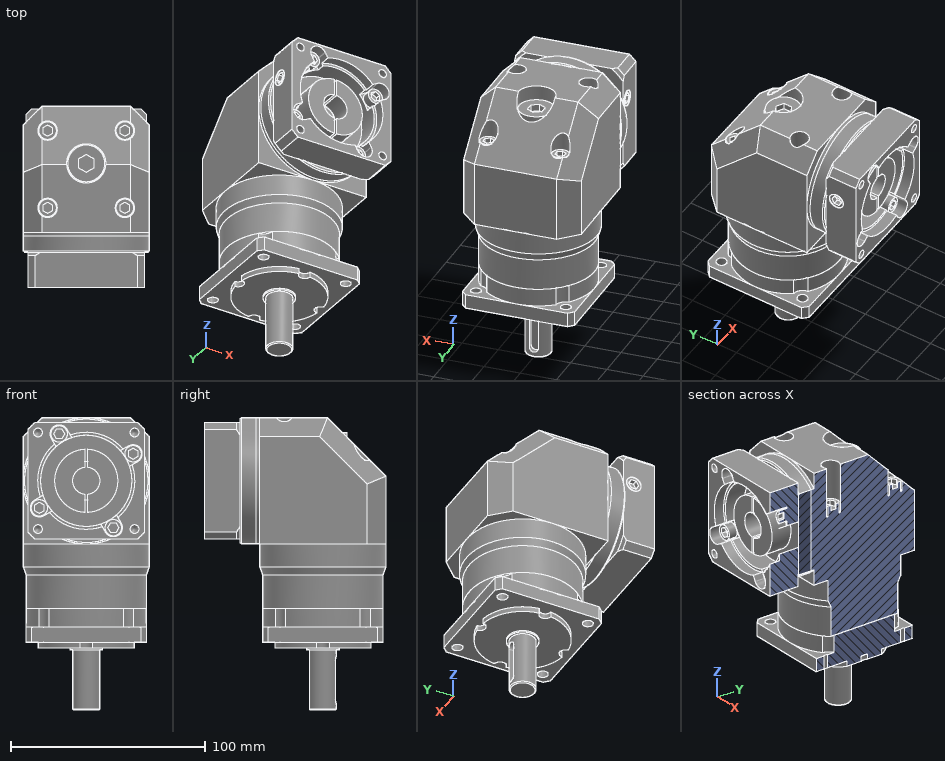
import cadquery as cq
import math


BLOCK = 65.0
HALF = BLOCK / 2
TOP = 150.5
BLOCK_BOTTOM = TOP - BLOCK
INPUT_Z = TOP - HALF
SLOPE = 30.1
BLOCK_CHAMFER = 9.8
NECK_BOTTOM = 73.7
TAPER_BOTTOM = 69.5
SLEEVE_RADIUS = 31.0
SLEEVE_BOTTOM = 52.4
BOSS_LENGTH = 2.0

BLOCK_SCREW_OFFSET = 19.9
BLOCK_SCREW_HOLE_RADIUS = 5.0
BLOCK_SCREW_HEAD_RADIUS = 4.5
BLOCK_SCREW_HEAD_TOP = 128.5
BLOCK_SCREW_HEAD_HEIGHT = 6.0
PLUG_Y = 3.0
PLUG_HOLE_RADIUS = 10.1
PLUG_RADIUS = 9.5
PLUG_TOP = 142.8
PLUG_HOLE_FLOOR = 137.0
PLUG_HEX = 8.0
PLUG_HEX_DEPTH = 3.8
SCREW_HEX = 5.0
SCREW_HEX_DEPTH = 3.0

FLANGE_TOP = 42.7
FLANGE_BOTTOM = 34.9
FLANGE_CORNER = 2.9
FLANGE_HOLE_OFFSET = 24.8
FLANGE_HOLE_DIAMETER = 5.5
FLANGE_NOTCH_RADIUS = 5.7
PILOT_RADIUS = 25.0
PILOT_BOTTOM = 31.9
PILOT_NOTCH_RADIUS = 3.3
SEAL_RADIUS = 8.5
SEAL_BOTTOM = 31.0
SHAFT_DIAMETER = 14.0
SHAFT_CHAMFER = 0.6
KEYWAY_WIDTH = 5.0
KEYWAY_LENGTH = 25.0
KEYWAY_DEPTH = 3.0
KEYWAY_MIDDLE = 15.5

BOSS_FRONT = -HALF - BOSS_LENGTH
RING_FRONT = -42.7
RING_CHAMFER = 0.8
HUB_RADIUS = 16.3
HUB_BORE_DIAMETER = 14.0
HUB_FRONT = -55.0
HUB_SLOT_WIDTH = 1.4
RELIEF_RADIUS = 10.0
RELIEF_DEPTH = 3.0

PLATE_SIDE = 60.0
PLATE_CORNER = 3.6
PLATE_FRONT = -61.0
PLATE_BACK_RADIUS = 38.2
PLATE_BORE_RADIUS = 23.5
PLATE_RECESS_RADIUS = 25.0
PLATE_RECESS_DEPTH = 6.0
MOTOR_HOLE_OFFSET = 24.8
MOTOR_HOLE_RADIUS = 2.3
MOTOR_HOLE_DEPTH = 10.5
DRILL_POINT_ANGLE = 118
PLATE_SCREW_CIRCLE = 27.8
PLATE_SCREW_ANGLES = (30, 120, 210, 300)
PLATE_POCKET_RADIUS = 4.7
PLATE_POCKET_DEPTH = 10.8
PLATE_SCREW_RADIUS = 4.2
PLATE_SCREW_HEIGHT = 5.0
SIDE_PLUG_Y = -48.9
SIDE_PLUG_RISE = 11.0
SIDE_PLUG_RADIUS = 4.2
SIDE_PLUG_SINK = 0.3


def cylinder_z(radius, bottom, top, x=0.0, y=0.0):
    return cq.Workplane("XY", origin=(x, y, bottom)).circle(radius).extrude(top - bottom)


def cylinder_y(radius, front, back, x=0.0, z=INPUT_Z):
    return cq.Workplane("XZ", origin=(x, back, z)).circle(radius).extrude(back - front)


def cylinder_x(radius, left, right, y, z):
    return cq.Workplane("YZ", origin=(left, y, z)).circle(radius).extrude(right - left)


def hexagon(plane, flats, turn=0):
    """Hexagonal outline on a workplane, one corner along its local X before the turn."""
    return plane.transformed(rotate=(0, 0, turn)).polygon(6, flats / math.cos(math.pi / 6))


def corners(offset):
    return [(sx * offset, sy * offset) for sx in (-1, 1) for sy in (-1, 1)]


def socket_head_z(radius, bottom, top, flats, depth, x, y):
    """Upright cylindrical head with a hexagon socket in its top."""
    head = cylinder_z(radius, bottom, top, x, y)
    socket = hexagon(cq.Workplane("XY", origin=(x, y, top)), flats, 90).extrude(-depth)
    return head.cut(socket)


def make_gear_block():
    slope_start = HALF - SLOPE
    margin = 1.5
    block = (
        cq.Workplane("YZ", origin=(-HALF, 0, 0))
        .moveTo(-HALF, BLOCK_BOTTOM)
        .lineTo(HALF, BLOCK_BOTTOM)
        .lineTo(HALF, TOP - SLOPE)
        .lineTo(slope_start, TOP)
        .lineTo(-HALF, TOP)
        .close()
        .extrude(BLOCK)
    )
    side_edges = cq.selectors.BoxSelector(
        (-BLOCK, -HALF + margin, BLOCK_BOTTOM + margin), (BLOCK, BLOCK, TOP + margin)
    )
    return block.faces("<X or >X").edges(side_edges).chamfer(BLOCK_CHAMFER)


def make_housing():
    sleeve = (
        cq.Workplane("XZ")
        .moveTo(0, SLEEVE_BOTTOM)
        .lineTo(SLEEVE_RADIUS, SLEEVE_BOTTOM)
        .lineTo(SLEEVE_RADIUS, TAPER_BOTTOM)
        .lineTo(HALF, NECK_BOTTOM)
        .lineTo(HALF, BLOCK_BOTTOM)
        .lineTo(0, BLOCK_BOTTOM)
        .close()
        .revolve(360, (0, 0), (0, 1))
    )
    boss = cylinder_y(HALF, BOSS_FRONT, -HALF)
    housing = make_gear_block().union(sleeve).union(boss)

    head_bottom = BLOCK_SCREW_HEAD_TOP - BLOCK_SCREW_HEAD_HEIGHT
    for x, y in corners(BLOCK_SCREW_OFFSET):
        hole = cylinder_z(BLOCK_SCREW_HOLE_RADIUS, head_bottom, TOP, x, y)
        head = socket_head_z(
            BLOCK_SCREW_HEAD_RADIUS, head_bottom, BLOCK_SCREW_HEAD_TOP, SCREW_HEX, SCREW_HEX_DEPTH, x, y
        )
        housing = housing.cut(hole).union(head)

    plug_hole = cylinder_z(PLUG_HOLE_RADIUS, PLUG_HOLE_FLOOR, TOP, 0, PLUG_Y)
    plug = socket_head_z(PLUG_RADIUS, PLUG_HOLE_FLOOR, PLUG_TOP, PLUG_HEX, PLUG_HEX_DEPTH, 0, PLUG_Y)
    return housing.cut(plug_hole).union(plug)


def make_shaft():
    shaft = cylinder_z(SHAFT_DIAMETER / 2, 0, SEAL_BOTTOM).faces("<Z").chamfer(SHAFT_CHAMFER)
    keyway = (
        cq.Workplane("XZ", origin=(0, SHAFT_DIAMETER / 2, KEYWAY_MIDDLE))
        .slot2D(KEYWAY_LENGTH, KEYWAY_WIDTH, 90)
        .extrude(KEYWAY_DEPTH)
    )
    return shaft.cut(keyway)


def make_output_flange():
    round_hub = cylinder_z(SLEEVE_RADIUS, FLANGE_TOP, SLEEVE_BOTTOM)
    for x, y in corners(FLANGE_HOLE_OFFSET):
        round_hub = round_hub.cut(cylinder_z(FLANGE_NOTCH_RADIUS, FLANGE_TOP, SLEEVE_BOTTOM, x, y))

    square = (
        cq.Workplane("XY", origin=(0, 0, FLANGE_BOTTOM))
        .rect(2 * SLEEVE_RADIUS, 2 * SLEEVE_RADIUS)
        .extrude(FLANGE_TOP - FLANGE_BOTTOM)
        .edges("|Z")
        .chamfer(FLANGE_CORNER)
        .faces(">Z")
        .workplane()
        .pushPoints(corners(FLANGE_HOLE_OFFSET))
        .hole(FLANGE_HOLE_DIAMETER)
    )

    pilot = cylinder_z(PILOT_RADIUS, PILOT_BOTTOM, FLANGE_BOTTOM)
    for x, y in ((PILOT_RADIUS, 0), (-PILOT_RADIUS, 0), (0, PILOT_RADIUS), (0, -PILOT_RADIUS)):
        pilot = pilot.cut(cylinder_z(PILOT_NOTCH_RADIUS, PILOT_BOTTOM, FLANGE_BOTTOM, x, y))

    seal = cylinder_z(SEAL_RADIUS, SEAL_BOTTOM, PILOT_BOTTOM)
    return square.union(round_hub).union(pilot).union(seal).union(make_shaft())


def make_input_ring():
    ring = cylinder_y(HALF, RING_FRONT, BOSS_FRONT).faces("<Y").chamfer(RING_CHAMFER)
    hub = cylinder_y(HUB_RADIUS, HUB_FRONT, RING_FRONT)
    bore = cylinder_y(HUB_BORE_DIAMETER / 2, HUB_FRONT, RING_FRONT)
    slot = (
        cq.Workplane("XZ", origin=(0, RING_FRONT, INPUT_Z))
        .rect(HUB_SLOT_WIDTH, 2 * HUB_RADIUS)
        .extrude(RING_FRONT - HUB_FRONT)
    )
    relief = cylinder_y(RELIEF_RADIUS, RING_FRONT, RING_FRONT + RELIEF_DEPTH)
    return ring.cut(relief).union(hub.cut(bore).cut(slot))


def make_plate_screw_pocket(angle):
    """Round counterbore with a straight way out to the plate's bore."""
    floor = PLATE_FRONT + PLATE_POCKET_DEPTH
    pocket = cylinder_y(PLATE_POCKET_RADIUS, PLATE_FRONT, floor, PLATE_SCREW_CIRCLE)
    way_out = (
        cq.Workplane("XZ", origin=(PLATE_SCREW_CIRCLE / 2, floor, INPUT_Z))
        .rect(PLATE_SCREW_CIRCLE, 2 * PLATE_POCKET_RADIUS)
        .extrude(PLATE_POCKET_DEPTH)
    )
    return pocket.union(way_out).rotate((0, 0, INPUT_Z), (0, -1, INPUT_Z), angle)


def make_plate_screw_head(angle):
    """Socket screw head standing on the floor of its pocket."""
    seat = PLATE_FRONT + PLATE_POCKET_DEPTH
    front = seat - PLATE_SCREW_HEIGHT
    head = cylinder_y(PLATE_SCREW_RADIUS, front, seat, PLATE_SCREW_CIRCLE)
    head_face = cq.Workplane("XZ", origin=(PLATE_SCREW_CIRCLE, front, INPUT_Z))
    socket = hexagon(head_face, SCREW_HEX).extrude(-SCREW_HEX_DEPTH)
    return head.cut(socket).rotate((0, 0, INPUT_Z), (0, -1, INPUT_Z), angle)


def make_motor_hole(x, z):
    """Blind drilled hole with a conical end."""
    point = MOTOR_HOLE_RADIUS / math.tan(math.radians(DRILL_POINT_ANGLE / 2))
    return (
        cq.Workplane("XY", origin=(x, PLATE_FRONT, z))
        .lineTo(MOTOR_HOLE_RADIUS, 0)
        .lineTo(MOTOR_HOLE_RADIUS, MOTOR_HOLE_DEPTH)
        .lineTo(0, MOTOR_HOLE_DEPTH + point)
        .close()
        .revolve(360, (0, 0), (0, 1))
    )


def cut_side_plug(plate):
    """Cut the outline of the sunk socket plug into the plate's -X side."""
    side_x = -PLATE_SIDE / 2
    plug_z = INPUT_Z + SIDE_PLUG_RISE
    plug_x = side_x + SIDE_PLUG_SINK
    sink = cylinder_x(SIDE_PLUG_RADIUS, side_x, plug_x, SIDE_PLUG_Y, plug_z)
    plug_face = cq.Workplane("YZ", origin=(plug_x, SIDE_PLUG_Y, plug_z))
    socket = hexagon(plug_face, SCREW_HEX).extrude(SCREW_HEX_DEPTH)
    return plate.cut(sink).cut(socket)


def make_adapter():
    thickness = RING_FRONT - PLATE_FRONT
    plate = (
        cq.Workplane("XZ", origin=(0, RING_FRONT, INPUT_Z))
        .rect(PLATE_SIDE, PLATE_SIDE)
        .extrude(thickness)
        .edges("|Y")
        .chamfer(PLATE_CORNER)
    )
    cone = (
        cq.Workplane("XZ", origin=(0, RING_FRONT, INPUT_Z))
        .circle(PLATE_BACK_RADIUS)
        .extrude(thickness, taper=-45)
    )
    bore = cylinder_y(PLATE_BORE_RADIUS, PLATE_FRONT, RING_FRONT)
    recess = cylinder_y(PLATE_RECESS_RADIUS, PLATE_FRONT, PLATE_FRONT + PLATE_RECESS_DEPTH)
    plate = plate.intersect(cone).cut(bore).cut(recess)

    for angle in PLATE_SCREW_ANGLES:
        plate = plate.cut(make_plate_screw_pocket(angle)).union(make_plate_screw_head(angle))
    for x, dz in corners(MOTOR_HOLE_OFFSET):
        plate = plate.cut(make_motor_hole(x, INPUT_Z + dz))

    return cut_side_plug(plate)


housing = make_housing()
output_flange = make_output_flange()
input_ring = make_input_ring()
adapter = make_adapter()

result = cq.Compound.makeCompound(
    [housing.val(), output_flange.val(), input_ring.val(), adapter.val()]
)